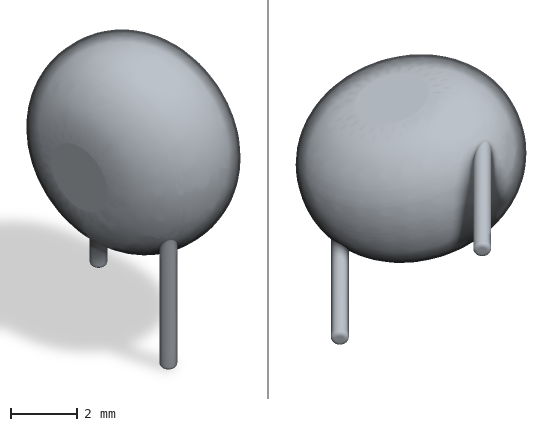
import cadquery as cq

BODY_DIAMETER = 7.0
BODY_THICKNESS = 4.8
RIM_BAND_WIDTH = 0.118
EDGE_RADIUS = (BODY_THICKNESS - RIM_BAND_WIDTH) / 2

LEAD_DIAMETER = 0.54
LEAD_PITCH_X = 5.0
LEAD_PITCH_Y = 2.3
LEAD_TIP_RADIUS = LEAD_DIAMETER / 4
OVERALL_HEIGHT = 10.03
LEAD_TOP_Z = 0.0
LEAD_BOTTOM_Z = BODY_DIAMETER / 2 - OVERALL_HEIGHT


def make_body():
    """Flat-faced disc with both circular edges fully rounded."""
    disc = (
        cq.Workplane("XZ", origin=(0, BODY_THICKNESS / 2, 0))
        .circle(BODY_DIAMETER / 2)
        .extrude(BODY_THICKNESS)
    )
    return disc.edges("%CIRCLE").fillet(EDGE_RADIUS)


def make_lead(x, y):
    """Vertical round lead with a rounded lower tip."""
    lead = (
        cq.Workplane("XY", origin=(x, y, LEAD_BOTTOM_Z))
        .circle(LEAD_DIAMETER / 2)
        .extrude(LEAD_TOP_Z - LEAD_BOTTOM_Z)
    )
    return lead.faces("<Z").edges().fillet(LEAD_TIP_RADIUS)


result = make_body()
for side in (-1, 1):
    result = result.union(make_lead(side * LEAD_PITCH_X / 2, -side * LEAD_PITCH_Y / 2))